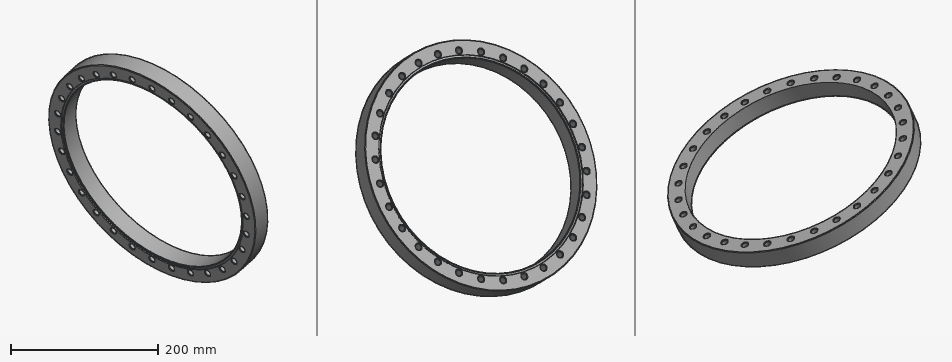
import cadquery as cq

outer_diameter = 355.5
thickness = 28.5
bore_diameter = 304.5
rim_chamfer = 1.0

recess_diameter = 313.0
recess_depth = 2.0
crest_diameter = 307.0
crest_depth = 1.0
shoulder_depth = 2.0

bolt_count = 30
bolt_circle_diameter = 325.0
bolt_hole_diameter = 8.5
bolt_hole_chamfer = 1.0

front_y = -thickness / 2
back_y = thickness / 2


def ring_body():
    """Revolve the radial section of the ring about the Y axis."""
    outer_radius = outer_diameter / 2
    bore_radius = bore_diameter / 2
    recess_radius = recess_diameter / 2
    crest_radius = crest_diameter / 2
    section = (
        cq.Workplane("YZ")
        .moveTo(front_y, recess_radius)
        .lineTo(front_y, outer_radius - rim_chamfer)
        .lineTo(front_y + rim_chamfer, outer_radius)
        .lineTo(back_y - rim_chamfer, outer_radius)
        .lineTo(back_y, outer_radius - rim_chamfer)
        .lineTo(back_y, bore_radius)
        .lineTo(front_y + shoulder_depth, bore_radius)
        .lineTo(front_y + shoulder_depth, crest_radius)
        .lineTo(front_y + crest_depth, crest_radius)
        .lineTo(front_y + recess_depth, recess_radius)
        .close()
    )
    return section.revolve(360, (0, 0, 0), (1, 0, 0))


def bolt_hole_cutters():
    """Through holes with a chamfer at both ends; one hole lies at the top (+Z)."""
    hole_radius = bolt_hole_diameter / 2
    mouth_radius = hole_radius + bolt_hole_chamfer
    cutter = (
        cq.Workplane("XY")
        .moveTo(0, front_y)
        .lineTo(mouth_radius, front_y)
        .lineTo(hole_radius, front_y + bolt_hole_chamfer)
        .lineTo(hole_radius, back_y - bolt_hole_chamfer)
        .lineTo(mouth_radius, back_y)
        .lineTo(0, back_y)
        .close()
        .revolve(360, (0, 0, 0), (0, 1, 0))
        .translate((0, 0, bolt_circle_diameter / 2))
    )
    cutters = cq.Workplane("XY")
    for index in range(bolt_count):
        angle = index * 360 / bolt_count
        cutters = cutters.add(cutter.rotate((0, 0, 0), (0, 1, 0), angle))
    return cutters.combine()


result = ring_body().cut(bolt_hole_cutters())